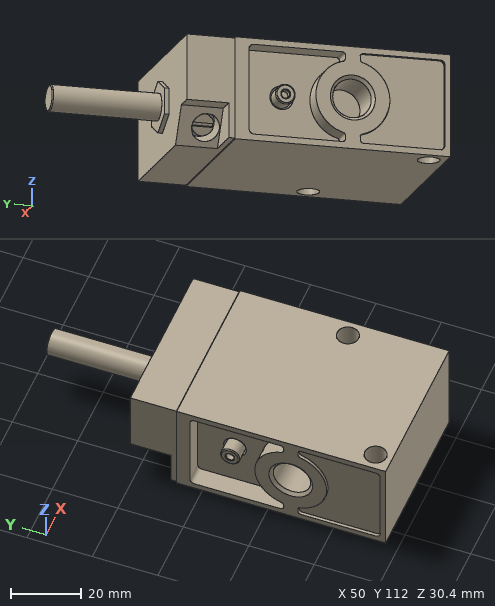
import cadquery as cq
import math

body_width = 50.0
body_height = 30.4
body_length = 64.0
left_face = -body_width / 2

cap_width = 49.4
cap_height = 29.8
cap_end = 78.2

nut_diameter = 15.3
nut_turn = 30.0
nut_end = 79.5
cable_diameter = 8.0
cable_chamfer = 0.3
total_length = 112.0

mount_diameter = 6.5
mount_x = 19.9
mount_front_y = 5.0
mount_rear_y = 29.0

port_y = mount_rear_y
port_diameter = 11.4
port_mouth_diameter = 13.3
port_depth = 12.3
boss_diameter = 22.0

pocket_front_y = 1.7
pocket_rear_y = 59.8
pocket_height = 26.7
pocket_corner_radius = 1.5
web_corner_radius = 1.0
web_width = 4.4
front_pocket_depth = 1.0
rear_pocket_depth = 6.0

pin_y = 48.4
pin_diameter = 5.8
pin_length = 4.1
pin_chamfer = 0.3
pin_hole_diameter = 2.5
pin_hole_chamfer = 0.2
pin_hole_depth = 2.0
countersink_diameter = 7.0
countersink_depth = 0.8

slope_angle = 30.0
ledge_depth = 5.6
slope_top_z = -4.6
slope_top_x = -cap_width / 2 + ledge_depth
slope_front_y = 65.7
screw_y = 70.1
screw_z = -9.9
screw_bore_diameter = 8.2
screw_bore_depth = 6.0
screw_head_diameter = 6.5
screw_head_sink = 3.4
slot_width = 1.1
slot_depth = 1.2


def box(x_size, y_start, y_end, z_size):
    """Block centred on X and Z between two Y stations."""
    middle_y = (y_start + y_end) / 2
    return cq.Workplane("XY").box(x_size, y_end - y_start, z_size).translate((0, middle_y, 0))


def side_cylinder(y, diameter, x_start, length):
    """Cylinder on the Z = 0 line, running inward along +X."""
    return cq.Workplane("YZ", origin=(x_start, y, 0)).circle(diameter / 2).extrude(length)


def side_cone(y, outer_diameter, inner_diameter, x_start, depth):
    """Cone narrowing inward along +X."""
    solid = cq.Solid.makeCone(
        outer_diameter / 2, inner_diameter / 2, depth, cq.Vector(x_start, y, 0), cq.Vector(1, 0, 0)
    )
    return cq.Workplane(obj=solid)


def pocket(y_start, y_end, depth, outer_end, web_end):
    """Rounded pocket in the left face, cut short by the boss around the port."""
    block = (
        cq.Workplane("YZ", origin=(left_face, (y_start + y_end) / 2, 0))
        .rect(y_end - y_start, pocket_height)
        .extrude(depth)
        .edges(f"|X and {outer_end}")
        .fillet(pocket_corner_radius)
    )
    block = block.cut(side_cylinder(port_y, boss_diameter, left_face, depth))
    corners_at_web = block.faces(web_end).edges("|X")
    return corners_at_web.fillet(web_corner_radius)


def cable():
    """Cable with its nut at the root; two nut corners point along Z."""
    nut = (
        cq.Workplane("XZ", origin=(0, cap_end, 0))
        .polygon(6, nut_diameter)
        .extrude(cap_end - nut_end)
        .rotate((0, 0, 0), (0, 1, 0), nut_turn)
    )
    rod = (
        cq.Workplane("XZ", origin=(0, cap_end, 0))
        .circle(cable_diameter / 2)
        .extrude(cap_end - total_length)
        .faces(">Y")
        .chamfer(cable_chamfer)
    )
    return nut.union(rod)


def mounting_holes():
    return (
        cq.Workplane("XY", origin=(0, 0, -body_height / 2))
        .pushPoints([(-mount_x, mount_front_y), (mount_x, mount_rear_y)])
        .circle(mount_diameter / 2)
        .extrude(body_height)
    )


def port():
    chamfer = (port_mouth_diameter - port_diameter) / 2
    mouth = side_cone(port_y, port_mouth_diameter, port_diameter, left_face, chamfer)
    return side_cylinder(port_y, port_diameter, left_face, port_depth).union(mouth)


def pin():
    """Indicator pin, rooted at the bottom of its countersink."""
    tip_x = left_face + rear_pocket_depth - pin_length
    body = side_cylinder(pin_y, pin_diameter, tip_x, pin_length + countersink_depth)
    body = body.faces("<X").chamfer(pin_chamfer)
    body = body.cut(side_cylinder(pin_y, pin_hole_diameter, tip_x, pin_hole_depth))
    mouth_diameter = pin_hole_diameter + 2 * pin_hole_chamfer
    return body.cut(side_cone(pin_y, mouth_diameter, pin_hole_diameter, tip_x, pin_hole_chamfer))


def slope_recess():
    """Notch in the lower left edge of the cap, ending in the sloped wall."""
    drop = slope_top_z + cap_height / 2
    run = drop * math.tan(math.radians(slope_angle))
    return (
        cq.Workplane("XZ", origin=(0, slope_front_y, 0))
        .moveTo(-cap_width / 2, slope_top_z)
        .lineTo(-cap_width / 2, -cap_height / 2)
        .lineTo(slope_top_x + run, -cap_height / 2)
        .lineTo(slope_top_x, slope_top_z)
        .close()
        .extrude(slope_front_y - cap_end)
    )


def screw_plane(depth):
    """Plane parallel to the slope, at a depth below it, with its normal pointing inward."""
    angle = math.radians(slope_angle)
    surface_x = slope_top_x + (slope_top_z - screw_z) * math.tan(angle)
    origin = (surface_x + depth * math.cos(angle), screw_y, screw_z + depth * math.sin(angle))
    inward = (math.cos(angle), 0, math.sin(angle))
    return cq.Workplane(cq.Plane(origin, xDir=(0, 1, 0), normal=inward))


def screw_bore():
    return screw_plane(0).circle(screw_bore_diameter / 2).extrude(screw_bore_depth)


def screw_head():
    """Screw standing on the bore floor, with a driver slot across its top."""
    head_height = screw_bore_depth - screw_head_sink
    head = screw_plane(screw_head_sink).circle(screw_head_diameter / 2).extrude(head_height)
    slot = screw_plane(screw_head_sink).rect(screw_head_diameter, slot_width).extrude(slot_depth)
    return head.cut(slot)


housing = box(body_width, 0, body_length, body_height)
housing = housing.union(box(cap_width, body_length, cap_end, cap_height))

housing = housing.cut(pocket(pocket_front_y, port_y - web_width / 2, front_pocket_depth, "<Y", ">Y"))
housing = housing.cut(pocket(port_y + web_width / 2, pocket_rear_y, rear_pocket_depth, ">Y", "<Y"))
housing = housing.cut(port())
housing = housing.cut(mounting_holes())

pocket_floor = left_face + rear_pocket_depth
housing = housing.cut(side_cone(pin_y, countersink_diameter, pin_diameter, pocket_floor, countersink_depth))
housing = housing.union(pin())

housing = housing.cut(slope_recess())
housing = housing.cut(screw_bore())
housing = housing.union(screw_head())

result = housing.union(cable())